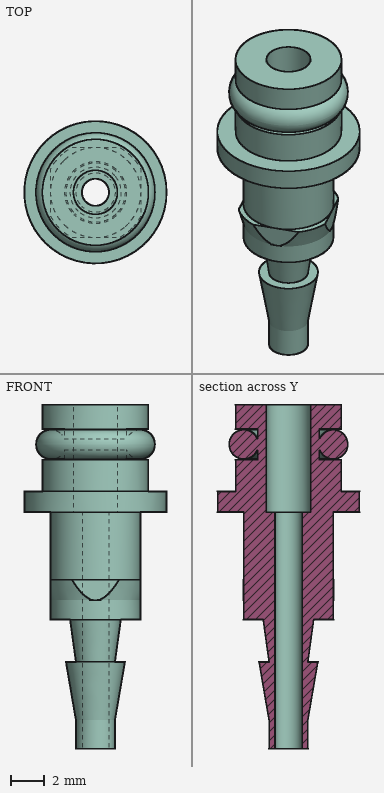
import cadquery as cq

hose_barb_bottom_z = 1.7
hose_barb_top_z = 5.14
body_bottom_z = 7.63
latch_bottom_z = 8.77
latch_top_z = 9.99
flange_bottom_z = 13.97
flange_top_z = 15.18
groove_bottom_z = 17.05
groove_top_z = 18.85
total_height = 20.3

tip_radius = 1.15
hose_barb_radius = 1.75
stem_top_radius = 1.5
body_radius = 2.65
latch_radius = 3.0
flange_radius = 4.2
head_radius = 3.13
groove_floor_radius = 1.83

ring_section_radius = 0.87
ring_outer_radius = 3.51
ring_center_radius = ring_outer_radius - ring_section_radius
ring_center_z = (groove_bottom_z + groove_top_z) / 2

bore_radius = 0.8
wide_bore_radius = 1.3
wide_bore_bottom_z = flange_bottom_z


def make_hose_stem():
    """Tapered stem with a conical hose barb and a cylindrical tip."""
    outline = [
        (0, 0),
        (tip_radius, 0),
        (tip_radius, hose_barb_bottom_z),
        (hose_barb_radius, hose_barb_top_z),
        (tip_radius, hose_barb_top_z),
        (stem_top_radius, body_bottom_z),
        (0, body_bottom_z),
    ]
    return cq.Workplane("XZ").polyline(outline).close().revolve(360, (0, 0), (0, 1))


def make_cylinder(radius, bottom_z, top_z):
    return cq.Workplane("XY").workplane(offset=bottom_z).circle(radius).extrude(top_z - bottom_z)


def make_latch():
    """Flared latch collar trimmed by four flats flush with the body."""
    height = latch_top_z - latch_bottom_z
    cone = cq.Solid.makeCone(body_radius, latch_radius, height, pnt=cq.Vector(0, 0, latch_bottom_z))
    side = 2 * body_radius
    trim = cq.Workplane("XY").workplane(offset=latch_bottom_z).rect(side, side).extrude(height)
    return trim.intersect(cq.Workplane(cone))


def make_seal_ring():
    ring = cq.Solid.makeTorus(ring_center_radius, ring_section_radius, cq.Vector(0, 0, ring_center_z))
    return cq.Workplane(ring)


round_sections = [
    (body_radius, body_bottom_z, flange_bottom_z),
    (flange_radius, flange_bottom_z, flange_top_z),
    (head_radius, flange_top_z, groove_bottom_z),
    (groove_floor_radius, groove_bottom_z, groove_top_z),
    (head_radius, groove_top_z, total_height),
]

result = make_hose_stem()
for radius, bottom_z, top_z in round_sections:
    result = result.union(make_cylinder(radius, bottom_z, top_z))
result = result.union(make_latch()).union(make_seal_ring())

result = result.cut(make_cylinder(bore_radius, 0, total_height))
result = result.cut(make_cylinder(wide_bore_radius, wide_bore_bottom_z, total_height))